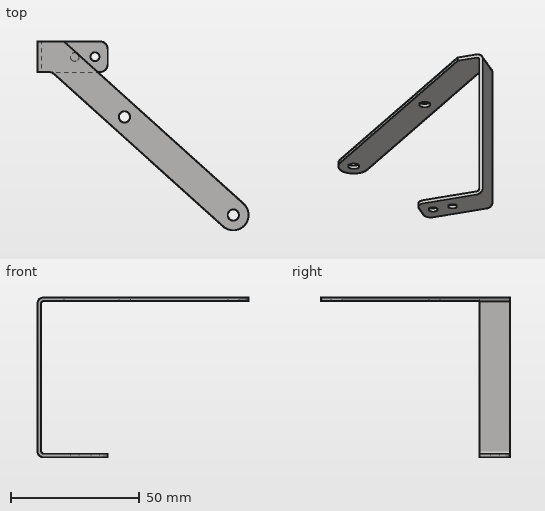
import cadquery as cq
import math

thickness = 1.5
strip_width = 12.0
bend_outer_radius = 2.5
bend_inner_radius = bend_outer_radius - thickness
height = 62.5

foot_length = 27.5
foot_corner_radius = 3.0
foot_hole_diameter = 3.4
foot_hole_end_offset = 5.0
foot_hole_spacing = 8.0
foot_hole_count = 2

arm_angle = math.radians(42.05)
arm_end_radius = strip_width / 2
arm_reach_x = 82.5
arm_reach_y = 73.8
arm_elbow_radius = 3.5
arm_hole_diameter = 4.3
arm_hole_spacing = 57.2

arm_end_x = arm_reach_x - arm_end_radius
arm_end_y = arm_end_radius - arm_reach_y
top_flange_z = height - thickness


def along_arm(distance, offset=0.0):
    """Point a distance back from the arm end, shifted towards the +X +Y side by offset."""
    x = arm_end_x - distance * math.cos(arm_angle) + offset * math.sin(arm_angle)
    y = arm_end_y + distance * math.sin(arm_angle) + offset * math.cos(arm_angle)
    return (x, y)


def arm_edge_x(y, offset):
    """X where the line parallel to the arm axis at the given offset reaches y."""
    distance = (y - arm_end_y - offset * math.cos(arm_angle)) / math.sin(arm_angle)
    return along_arm(distance, offset)[0]


def bend(center_z, outer_z):
    """Quarter-round bend between the upright and the flange whose outer face is at outer_z."""
    block = (
        cq.Workplane("XY")
        .box(bend_outer_radius, strip_width, bend_outer_radius, centered=False)
        .translate((0, -strip_width, min(center_z, outer_z)))
    )
    ring = (
        cq.Workplane("XZ", origin=(bend_outer_radius, 0, center_z))
        .circle(bend_outer_radius)
        .circle(bend_inner_radius)
        .extrude(strip_width)
    )
    return block.intersect(ring)


def upright():
    """Flat vertical web between the two bends."""
    web_height = height - 2 * bend_outer_radius
    web = cq.Workplane("XY").box(thickness, strip_width, web_height, centered=False)
    return web.translate((0, -strip_width, bend_outer_radius))


def foot():
    """Bottom flange with rounded free corners and two holes."""
    flat_length = foot_length - bend_outer_radius
    last_hole_x = foot_length - foot_hole_end_offset
    holes = [(last_hole_x - i * foot_hole_spacing, -strip_width / 2) for i in range(foot_hole_count)]
    plate = (
        cq.Workplane("XY")
        .box(flat_length, strip_width, thickness, centered=False)
        .translate((bend_outer_radius, -strip_width, 0))
        .edges("|Z and >X")
        .fillet(foot_corner_radius)
    )
    cutter = cq.Workplane("XY").pushPoints(holes).circle(foot_hole_diameter / 2).extrude(thickness)
    return plate.cut(cutter)


def arm():
    """Top flange: slanted strip with a full-round end, a filleted elbow and two holes."""
    elbow_x = arm_edge_x(-strip_width, -arm_end_radius)
    plate = (
        cq.Workplane("XY", origin=(0, 0, top_flange_z))
        .moveTo(bend_outer_radius, 0)
        .lineTo(arm_edge_x(0, arm_end_radius), 0)
        .lineTo(*along_arm(0, arm_end_radius))
        .threePointArc(along_arm(-arm_end_radius), along_arm(0, -arm_end_radius))
        .lineTo(elbow_x, -strip_width)
        .lineTo(bend_outer_radius, -strip_width)
        .close()
        .extrude(thickness)
    )
    elbow_point = (elbow_x, -strip_width, top_flange_z + thickness / 2)
    plate = plate.edges(cq.selectors.NearestToPointSelector(elbow_point)).fillet(arm_elbow_radius)
    cutter = (
        cq.Workplane("XY", origin=(0, 0, top_flange_z))
        .pushPoints([along_arm(0), along_arm(arm_hole_spacing)])
        .circle(arm_hole_diameter / 2)
        .extrude(thickness)
    )
    return plate.cut(cutter)


lower_bend = bend(bend_outer_radius, 0)
upper_bend = bend(height - bend_outer_radius, height)

result = upright().union(lower_bend).union(upper_bend).union(foot()).union(arm())